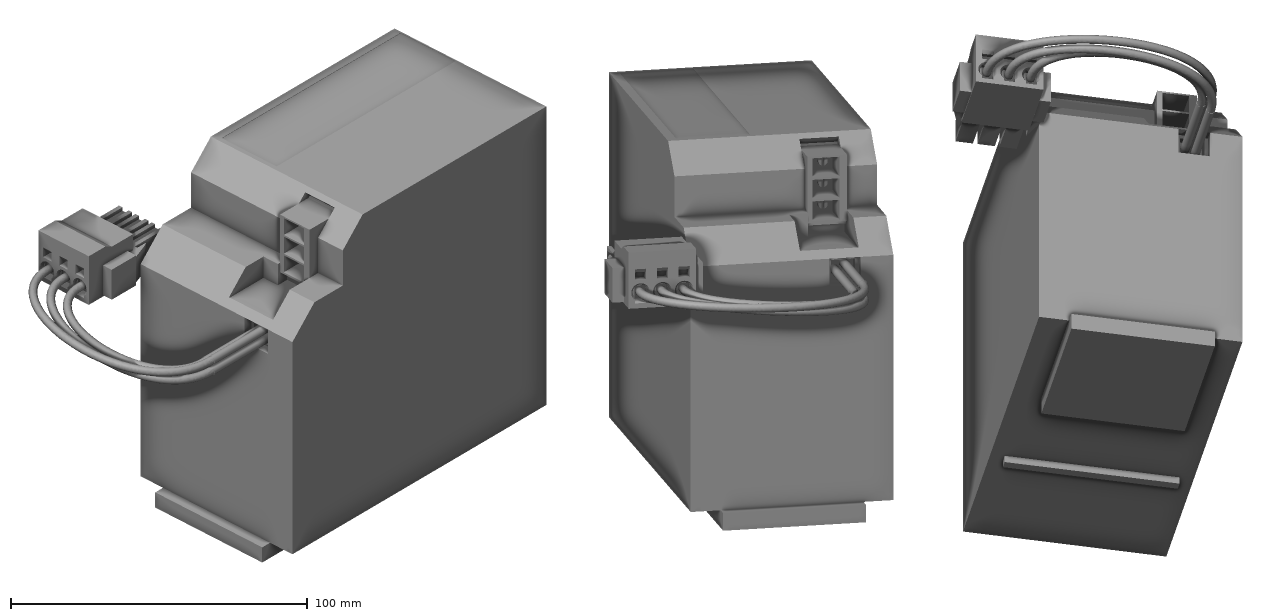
import cadquery as cq
import math


WIDTH = 70.0
DEPTH = 125.2
HEIGHT = 120.3
COVER_WALL = 3.3
COVER_BOTTOM = 75.7
UPPER_CHAMFER = 9.8
STEP_FRONT = 24.8
STEP_LEDGE = 96.4
LOWER_CHAMFER = 10.8

LABEL_LEFT = 3.3
LABEL_WIDTH = 25.4
LABEL_FRONT = 36.4
LABEL_BACK = 124.7
LABEL_DEPTH = 0.2

FOOT_WIDTH = 49.3
FOOT_HEIGHT = 6.1
FOOT_FRONT = -3.8
FOOT_BACK = 45.7
RIB_WIDTH = 60.2
RIB_THICKNESS = 3.0
RIB_HEIGHT = 2.6
RIB_Y = 81.5

SOCKET_LEFT = 45.0
SOCKET_RIGHT = 58.6
SOCKET_FRONT = 20.6
SOCKET_TOP = 115.8
SOCKET_BOTTOM = 92.5
SOCKET_WINDOW_TOP = 118.8
CELL_LEFT = 46.7
CELL_WIDTH = 9.3
CELL_HEIGHT = 6.8
CELL_DEPTH = 10.5
CELL_CENTER_Z = 104.2
POLE_PITCH = 7.5
CONTACT_X = 52.1
CONTACT_DIAMETER = 3.1
CONTACT_LENGTH = 2.6
CONTACT_SLOT = 1.0
POCKET_LEFT = 38.3
POCKET_FRONT = 2.6
POCKET_BACK = 19.6
POCKET_FLOOR = 87.8
UNDERCUT_TOP = 91.5
UNDERCUT_BACK = 24.1
UNDERCUT_SETBACK = 1.2

OUTLET_LEFT = 48.0
OUTLET_RIGHT = 58.8
SLEEVE_POCKET_INSET = 1.2
SLEEVE_POCKET_BOTTOM = 76.3
SLEEVE_POCKET_TOP = 85.0
SLEEVE_POCKET_DEPTH = 3.5

POLE_COUNT = 3
PLUG_CENTER_X = -14.78
PLUG_WIDTH = 23.3
PLUG_BOTTOM = 78.4
PLUG_TOP = 98.0
PLUG_STEP_TOP = 96.4
PLUG_FRONT = -22.2
PLUG_BACK = -0.3
PLUG_RAMP_FRONT = -14.0
PLUG_RAMP_BACK = -10.8
PLUG_BASE_BACK = 1.7
PRONG_BACK = 16.5
PRONG_WIDTH = 6.0
PRONG_BOTTOM = 81.2
PRONG_TOP = 89.9
PRONG_GROOVE_WIDTH = 2.8
PRONG_GROOVE_DEPTH = 1.4
GRIP_WIDTH = 4.0
GRIP_FRONT = -15.2
GRIP_BACK = -3.1
GRIP_BOTTOM = 78.9
GRIP_TOP = 91.0
CLIP_WIDTH = 3.7
CLIP_SHOULDER_WIDTH = 0.9
CLIP_SHOULDER_Y = 4.5
CLIP_TIP_Y = 6.1
CLIP_BOTTOM = 79.5

WINDOW_WIDTH = 3.8
TEST_SLOT_BOTTOM = 88.2
TEST_SLOT_STEP = 90.8
TEST_SLOT_TOP = 92.0
TEST_SLOT_TILT = 30.0
TEST_SLOT_LEDGE = 1.4
FUNNEL_DIAMETER = 6.5
FUNNEL_NECK_DIAMETER = 5.0
FUNNEL_DEPTH = 1.0
ENTRY_BOTTOM = 80.1
ENTRY_RAMP_TOP = 81.2
ENTRY_TOP = 86.0
ENTRY_DEPTH = 2.1
WIRE_HOLE_DEPTH = 5.2

WIRE_DIAMETER = 3.0
SLEEVE_DIAMETER = 3.1
WIRE_Z = 83.8
SLEEVE_END = -23.1
BUNDLE_Z = 80.1
BUNDLE_RISE = 2.1
BUNDLE_LEFT_X = 50.9
BUNDLE_RIGHT_X = 54.2
WIRE_ROUTES = [
    (BUNDLE_RIGHT_X, BUNDLE_Z + BUNDLE_RISE, 29.7, 38.5),
    (BUNDLE_RIGHT_X, BUNDLE_Z - BUNDLE_RISE, 27.1, 33.2),
    (BUNDLE_LEFT_X, BUNDLE_Z, 25.4, 28.0),
]


def block(x_min, x_max, y_min, y_max, z_min, z_max):
    """Solid box between the given limits."""
    size = (x_max - x_min, y_max - y_min, z_max - z_min)
    return cq.Workplane("XY").box(*size, centered=False).translate((x_min, y_min, z_min))


def rod(x, y, z, diameter, length):
    """Round rod running back along Y from its front end at the given point."""
    return cq.Workplane("XZ", origin=(x, y, z)).circle(diameter / 2).extrude(-length)


def side_profile(points, x_min, x_max):
    """Prism along X over an outline of (Y, Z) points."""
    return cq.Workplane("YZ").polyline(points).close().extrude(x_max - x_min).translate((x_min, 0, 0))


def stepped_front(inset):
    """(Y, Z) line of the top and stepped front, moved inwards by inset."""
    bend = inset * math.tan(math.radians(22.5))
    top = HEIGHT - inset
    upright = STEP_FRONT + inset
    ledge = STEP_LEDGE - inset
    return [
        (DEPTH, top),
        (STEP_FRONT + UPPER_CHAMFER + bend, top),
        (upright, HEIGHT - UPPER_CHAMFER - bend),
        (upright, ledge),
        (LOWER_CHAMFER + bend, ledge),
        (inset, STEP_LEDGE - LOWER_CHAMFER - bend),
        (inset, COVER_BOTTOM),
    ]


def pole_offsets():
    return [(i - (POLE_COUNT - 1) / 2) * POLE_PITCH for i in range(POLE_COUNT)]


def front_pocket():
    """Space above the pocket floor, reaching up through the ledge and lower chamfer."""
    return block(POCKET_LEFT, SOCKET_RIGHT, POCKET_FRONT, POCKET_BACK, POCKET_FLOOR, STEP_LEDGE).union(
        block(SOCKET_LEFT, SOCKET_RIGHT, POCKET_FRONT, SOCKET_FRONT, POCKET_FLOOR, STEP_LEDGE)
    )


def socket_opening():
    """Cover opening around the socket; its upper edge is square to the upper chamfer."""
    chamfer_line = HEIGHT - STEP_FRONT - UPPER_CHAMFER
    edge_y = SOCKET_WINDOW_TOP - chamfer_line
    slant = 2 * COVER_WALL
    outline = [
        (0, STEP_LEDGE - slant),
        (0, SOCKET_WINDOW_TOP + edge_y),
        (edge_y, SOCKET_WINDOW_TOP),
        (edge_y + slant, SOCKET_WINDOW_TOP - slant),
        (edge_y + slant, STEP_LEDGE - slant),
    ]
    upper = side_profile(outline, SOCKET_LEFT, SOCKET_RIGHT)
    return upper.intersect(
        block(SOCKET_LEFT, SOCKET_RIGHT, POCKET_BACK, DEPTH, POCKET_FLOOR, HEIGHT)
    )


def make_cover():
    outline = stepped_front(0) + stepped_front(COVER_WALL)[::-1]
    cover = side_profile(outline, 0, WIDTH)
    cover = cover.cut(socket_opening()).cut(front_pocket())
    outlet_top = STEP_LEDGE - LOWER_CHAMFER
    cover = cover.cut(block(OUTLET_LEFT, OUTLET_RIGHT, 0, COVER_WALL, COVER_BOTTOM, outlet_top))
    label = block(
        LABEL_LEFT, LABEL_LEFT + LABEL_WIDTH, LABEL_FRONT, LABEL_BACK, HEIGHT - LABEL_DEPTH, HEIGHT
    )
    return cover.cut(label)


def socket_block():
    """Three-pole socket: a cell per pole with a slotted round contact on its back wall."""
    back = STEP_FRONT + UPPER_CHAMFER
    socket = block(SOCKET_LEFT, SOCKET_RIGHT, SOCKET_FRONT, back, SOCKET_BOTTOM, SOCKET_TOP)
    cell_back = SOCKET_FRONT + CELL_DEPTH
    for offset in pole_offsets():
        z = CELL_CENTER_Z + offset
        cell = block(
            CELL_LEFT, CELL_LEFT + CELL_WIDTH, SOCKET_FRONT, cell_back, z - CELL_HEIGHT / 2, z + CELL_HEIGHT / 2
        )
        contact = rod(CONTACT_X, cell_back - CONTACT_LENGTH, z, CONTACT_DIAMETER, CONTACT_LENGTH)
        slot = block(
            CONTACT_X - CONTACT_SLOT / 2,
            CONTACT_X + CONTACT_SLOT / 2,
            cell_back - CONTACT_LENGTH,
            cell_back,
            z - CONTACT_DIAMETER,
            z + CONTACT_DIAMETER,
        )
        socket = socket.cut(cell.cut(contact.cut(slot)))
    return socket


def make_housing():
    outline = stepped_front(COVER_WALL) + [(0, COVER_BOTTOM), (0, 0), (DEPTH, 0)]
    housing = side_profile(outline, 0, WIDTH)
    housing = housing.cut(front_pocket())

    socket_back = STEP_FRONT + UPPER_CHAMFER
    housing = housing.cut(
        block(SOCKET_LEFT, SOCKET_RIGHT, 0, socket_back, SOCKET_BOTTOM, SOCKET_TOP)
    ).union(socket_block())
    setback = SOCKET_FRONT + UNDERCUT_SETBACK
    housing = housing.cut(
        block(SOCKET_LEFT, SOCKET_RIGHT, POCKET_BACK, setback, POCKET_FLOOR, SOCKET_BOTTOM)
    )
    housing = housing.cut(
        block(SOCKET_LEFT, SOCKET_RIGHT, POCKET_BACK, UNDERCUT_BACK, POCKET_FLOOR, UNDERCUT_TOP)
    )

    housing = housing.cut(
        block(
            OUTLET_LEFT + SLEEVE_POCKET_INSET,
            OUTLET_RIGHT - SLEEVE_POCKET_INSET,
            COVER_WALL,
            COVER_WALL + SLEEVE_POCKET_DEPTH,
            SLEEVE_POCKET_BOTTOM,
            SLEEVE_POCKET_TOP,
        )
    )

    middle = WIDTH / 2
    foot = block(middle - FOOT_WIDTH / 2, middle + FOOT_WIDTH / 2, FOOT_FRONT, FOOT_BACK, -FOOT_HEIGHT, 0)
    rib = block(
        middle - RIB_WIDTH / 2,
        middle + RIB_WIDTH / 2,
        RIB_Y - RIB_THICKNESS / 2,
        RIB_Y + RIB_THICKNESS / 2,
        -RIB_HEIGHT,
        0,
    )
    return housing.union(foot).union(rib)


def plug_prong(x):
    """Prong with a groove along its top."""
    prong = block(x - PRONG_WIDTH / 2, x + PRONG_WIDTH / 2, PLUG_BACK, PRONG_BACK, PRONG_BOTTOM, PRONG_TOP)
    groove = block(
        x - PRONG_GROOVE_WIDTH / 2,
        x + PRONG_GROOVE_WIDTH / 2,
        PLUG_BASE_BACK,
        PRONG_BACK,
        PRONG_TOP - PRONG_GROOVE_DEPTH,
        PRONG_TOP,
    )
    return prong.cut(groove)


def plug_latch():
    """Grip block and tapered clip on the left side of the plug."""
    side = PLUG_CENTER_X - PLUG_WIDTH / 2
    grip = block(side - GRIP_WIDTH, side, GRIP_FRONT, GRIP_BACK, GRIP_BOTTOM, GRIP_TOP)
    clip = (
        cq.Workplane("XY", origin=(side, 0, CLIP_BOTTOM))
        .polyline(
            [
                (0, GRIP_BACK),
                (-CLIP_WIDTH, GRIP_BACK),
                (-CLIP_SHOULDER_WIDTH, CLIP_SHOULDER_Y),
                (0, CLIP_TIP_Y),
            ]
        )
        .close()
        .extrude(PRONG_TOP - CLIP_BOTTOM)
    )
    return grip.union(clip)


def test_slot(x):
    """Square slot whose back wall leans inwards towards the bottom, with a ledge near the top."""
    lean = math.tan(math.radians(TEST_SLOT_TILT))
    ledge_y = PLUG_FRONT + (TEST_SLOT_TOP - TEST_SLOT_STEP) * lean
    foot_y = PLUG_FRONT + (TEST_SLOT_TOP - TEST_SLOT_BOTTOM) * lean + TEST_SLOT_LEDGE
    outline = [
        (PLUG_FRONT, TEST_SLOT_TOP),
        (ledge_y, TEST_SLOT_STEP),
        (ledge_y + TEST_SLOT_LEDGE, TEST_SLOT_STEP),
        (foot_y, TEST_SLOT_BOTTOM),
        (PLUG_FRONT, TEST_SLOT_BOTTOM),
    ]
    return side_profile(outline, x - WINDOW_WIDTH / 2, x + WINDOW_WIDTH / 2)


def wire_entry(x):
    """Round funnel and square entry with a ramp at the bottom, leading to the wire hole."""
    funnel = (
        cq.Workplane("XZ", origin=(x, PLUG_FRONT, WIRE_Z))
        .circle(FUNNEL_DIAMETER / 2)
        .workplane(offset=-FUNNEL_DEPTH)
        .circle(FUNNEL_NECK_DIAMETER / 2)
        .loft()
    )
    entry_back = PLUG_FRONT + ENTRY_DEPTH
    outline = [
        (PLUG_FRONT, ENTRY_BOTTOM),
        (entry_back, ENTRY_RAMP_TOP),
        (entry_back, ENTRY_TOP),
        (PLUG_FRONT, ENTRY_TOP),
    ]
    entry = side_profile(outline, x - WINDOW_WIDTH / 2, x + WINDOW_WIDTH / 2)
    hole = rod(x, PLUG_FRONT, WIRE_Z, WIRE_DIAMETER, WIRE_HOLE_DEPTH)
    return funnel.union(entry).union(hole)


def make_plug():
    left = PLUG_CENTER_X - PLUG_WIDTH / 2
    right = PLUG_CENTER_X + PLUG_WIDTH / 2
    outline = [
        (PLUG_FRONT, PLUG_BOTTOM),
        (PLUG_FRONT, PLUG_TOP),
        (PLUG_RAMP_FRONT, PLUG_TOP),
        (PLUG_RAMP_BACK, PLUG_STEP_TOP),
        (PLUG_BACK, PLUG_STEP_TOP),
        (PLUG_BACK, PRONG_TOP),
        (PLUG_BASE_BACK, PRONG_TOP),
        (PLUG_BASE_BACK, PLUG_BOTTOM),
    ]
    plug = side_profile(outline, left, right)
    latch = plug_latch()
    plug = plug.union(latch).union(latch.mirror("YZ", (PLUG_CENTER_X, 0, 0)))
    for offset in pole_offsets():
        x = PLUG_CENTER_X + offset
        plug = plug.union(plug_prong(x)).cut(test_slot(x)).cut(wire_entry(x))
    return plug


def make_wire(plug_x, sleeve_x, sleeve_z, plug_reach, sleeve_reach):
    """Wire from the bottom of its plug hole in a loop to its sleeve, with the sleeve on it."""
    leave = cq.Vector(plug_x, PLUG_FRONT, WIRE_Z)
    arrive = cq.Vector(sleeve_x, SLEEVE_END, sleeve_z)
    loop = cq.Edge.makeBezier(
        [leave, leave - cq.Vector(0, plug_reach, 0), arrive - cq.Vector(0, sleeve_reach, 0), arrive]
    )
    section = cq.Workplane("XZ", origin=leave.toTuple()).circle(WIRE_DIAMETER / 2)
    wire = section.sweep(cq.Workplane(cq.Wire.assembleEdges([loop])), isFrenet=True)
    end = rod(plug_x, PLUG_FRONT, WIRE_Z, WIRE_DIAMETER, WIRE_HOLE_DEPTH)
    sleeve_length = COVER_WALL + SLEEVE_POCKET_DEPTH - SLEEVE_END
    sleeve = rod(sleeve_x, SLEEVE_END, sleeve_z, SLEEVE_DIAMETER, sleeve_length)
    return wire.union(end).union(sleeve)


cover = make_cover()
housing = make_housing()
plug = make_plug()
wires = [
    make_wire(PLUG_CENTER_X + offset, *route) for offset, route in zip(pole_offsets(), WIRE_ROUTES)
]

result = cq.Compound.makeCompound(
    [housing.val(), cover.val(), plug.val(), *(wire.val() for wire in wires)]
)